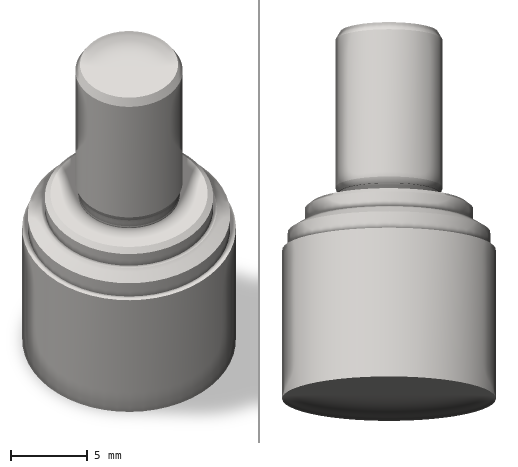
import cadquery as cq

total_height = 24.53

grip_diameter = 14.0
grip_height = 9.95
shoulder_diameter = 13.27
taper_start_height = 11.14
rim_diameter = 11.5
rim_height = 11.68

collar_diameter = 11.05
collar_top_height = 13.0
collar_chamfer_width = 0.37
collar_chamfer_height = 0.3
recess_floor_height = grip_height

root_diameter = 6.67
root_top_height = 13.07
neck_start_height = 13.15
neck_diameter = 6.62
neck_top_height = 13.74
flare_start_diameter = 6.75
flare_height = 0.4
shank_diameter = 7.05
tip_diameter = 6.43
tip_chamfer_height = 0.55


def cylinder(diameter, bottom, top):
    """Upright cylinder on the Z axis between two heights."""
    return cq.Workplane("XY").workplane(offset=bottom).circle(diameter / 2).extrude(top - bottom)


def turned(outline):
    """Revolve (diameter, height) points, listed upwards, around the Z axis."""
    bottom = outline[0][1]
    top = outline[-1][1]
    points = [(diameter / 2, height) for diameter, height in outline]
    profile = cq.Workplane("XZ").polyline([(0, bottom), *points, (0, top)]).close()
    return profile.revolve(360, (0, 0, 0), (0, 1, 0))


def make_housing():
    body = turned([
        (grip_diameter, 0),
        (grip_diameter, grip_height),
        (shoulder_diameter, grip_height),
        (shoulder_diameter, taper_start_height),
        (rim_diameter, rim_height),
    ])
    return body.cut(cylinder(collar_diameter, recess_floor_height, rim_height))


def make_collar():
    body = turned([
        (collar_diameter, recess_floor_height),
        (collar_diameter, collar_top_height - collar_chamfer_height),
        (collar_diameter - 2 * collar_chamfer_width, collar_top_height),
    ])
    return body.cut(cylinder(root_diameter, recess_floor_height, collar_top_height))


def make_stud():
    return turned([
        (root_diameter, recess_floor_height),
        (root_diameter, root_top_height),
        (neck_diameter, neck_start_height),
        (neck_diameter, neck_top_height),
        (flare_start_diameter, neck_top_height),
        (shank_diameter, neck_top_height + flare_height),
        (shank_diameter, total_height - tip_chamfer_height),
        (tip_diameter, total_height),
    ])


housing = make_housing()
collar = make_collar()
stud = make_stud()

result = cq.Compound.makeCompound([housing.val(), collar.val(), stud.val()])